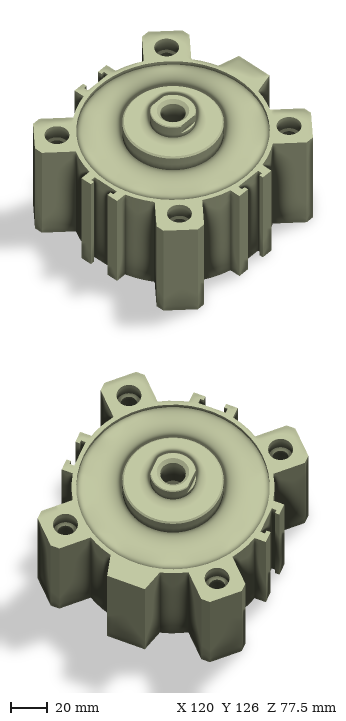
import cadquery as cq
import math

BARREL_DIAMETER = 110.0
BARREL_HEIGHT = 62.0
OUTER_WIDTH = 120.0
HALF_WIDTH = OUTER_WIDTH / 2
RECESS_DIAMETER = 105.0
RECESS_DEPTH = 2.5

BOSS_DIAMETER = 55.0
BOSS_HEIGHT = 7.3
BOSS_TOP = BARREL_HEIGHT + BOSS_HEIGHT
BOSS_CHAMFER = 0.9

LUG_WIDTH = 25.8
LUG_REACH = 75.5
LUG_ANGLES = (45, 135, 225, 315)
MOUNT_HOLE_DIAMETER = 9.0
MOUNT_HOLE_RADIUS = 63.0
COUNTERBORE_DIAMETER = 13.5
COUNTERBORE_DEPTH = 8.6

RAIL_WIDTH = 26.0
RAIL_ANGLES = (180, 270, 0)
SLOT_MOUTH_WIDTH = 12.1
SLOT_INNER_WIDTH = 16.1
SLOT_LIP = 2.5
SLOT_DEPTH = 5.3

OVERALL_LENGTH = 126.0
RIB_REACH = OVERALL_LENGTH - HALF_WIDTH
RIB_TIP_WIDTH = 22.2
RIB_ROOT_WIDTH = 29.0
RIB_ROOT_REACH = 52.9

ROD_DIAMETER = 25.0
ROD_TOP = 77.5
ROD_LENGTH = 30.2
ROD_BOTTOM = ROD_TOP - ROD_LENGTH
ROD_CHAMFER = 0.5
FLATS_WIDTH = 22.0
FLATS_LENGTH = 5.5
ROD_HOLE_DIAMETER = 13.9
ROD_HOLE_DEPTH = 20.2
ROD_HOLE_CHAMFER = 1.9


def cylinder(diameter, bottom, top):
    """Upright cylinder on the main axis."""
    return cq.Workplane("XY").workplane(offset=bottom).circle(diameter / 2).extrude(top - bottom)


def block(x_start, x_end, width):
    """Full-height block along +X, centred on the X axis."""
    return (
        cq.Workplane("XY")
        .center((x_start + x_end) / 2, 0)
        .rect(x_end - x_start, width)
        .extrude(BARREL_HEIGHT)
    )


def turned(shape, angle):
    """Shape turned about the main axis."""
    return shape.rotate((0, 0, 0), (0, 0, 1), angle)


def make_lugs():
    """Four diagonal arms whose corners are cut off by the outer square."""
    lugs = cq.Workplane("XY")
    for angle in LUG_ANGLES:
        lugs = lugs.add(turned(block(0, LUG_REACH, LUG_WIDTH), angle))
    outer_square = cq.Workplane("XY").rect(OUTER_WIDTH, OUTER_WIDTH).extrude(BARREL_HEIGHT)
    return lugs.combine().intersect(outer_square)


def make_rib():
    """Rib that narrows outward; its root is buried in the barrel."""
    return (
        cq.Workplane("XY")
        .moveTo(0, 0)
        .lineTo(RIB_ROOT_WIDTH / 2, RIB_ROOT_REACH)
        .lineTo(RIB_TIP_WIDTH / 2, RIB_REACH)
        .lineTo(-RIB_TIP_WIDTH / 2, RIB_REACH)
        .lineTo(-RIB_ROOT_WIDTH / 2, RIB_ROOT_REACH)
        .close()
        .extrude(BARREL_HEIGHT)
    )


def make_t_slot():
    """Cutter for one T-slot, opening toward +X."""
    mouth = block(HALF_WIDTH - SLOT_DEPTH, HALF_WIDTH, SLOT_MOUTH_WIDTH)
    inner = block(HALF_WIDTH - SLOT_DEPTH, HALF_WIDTH - SLOT_LIP, SLOT_INNER_WIDTH)
    return mouth.union(inner)


def cut_mounting_holes(housing):
    centre = MOUNT_HOLE_RADIUS / math.sqrt(2)
    return (
        housing.copyWorkplane(cq.Workplane("XY", origin=(0, 0, BARREL_HEIGHT)))
        .rect(2 * centre, 2 * centre, forConstruction=True)
        .vertices()
        .cboreHole(MOUNT_HOLE_DIAMETER, COUNTERBORE_DIAMETER, COUNTERBORE_DEPTH, BARREL_HEIGHT)
    )


def make_housing():
    housing = cylinder(BARREL_DIAMETER, 0, BARREL_HEIGHT)
    housing = housing.union(make_lugs()).union(make_rib())
    for angle in RAIL_ANGLES:
        housing = housing.union(turned(block(0, HALF_WIDTH, RAIL_WIDTH), angle))
    for angle in RAIL_ANGLES:
        housing = housing.cut(turned(make_t_slot(), angle))
    housing = cut_mounting_holes(housing)

    recess_floor = BARREL_HEIGHT - RECESS_DEPTH
    housing = housing.cut(cylinder(RECESS_DIAMETER, recess_floor, BARREL_HEIGHT))
    boss = cylinder(BOSS_DIAMETER, recess_floor, BOSS_TOP).faces(">Z").chamfer(BOSS_CHAMFER)
    housing = housing.union(boss)

    return housing.cut(cylinder(ROD_DIAMETER, ROD_BOTTOM, BOSS_TOP))


def make_rod():
    rod = cylinder(ROD_DIAMETER, ROD_BOTTOM, ROD_TOP).faces(">Z").chamfer(ROD_CHAMFER)

    flats_bottom = ROD_TOP - FLATS_LENGTH
    flats_slab = (
        cq.Workplane("XY")
        .workplane(offset=flats_bottom)
        .rect(FLATS_WIDTH, ROD_DIAMETER)
        .extrude(FLATS_LENGTH)
    )
    rod = rod.cut(cylinder(ROD_DIAMETER, flats_bottom, ROD_TOP).cut(flats_slab))

    hole = cylinder(ROD_HOLE_DIAMETER, ROD_TOP - ROD_HOLE_DEPTH, ROD_TOP)
    rod = rod.cut(hole)
    return rod.faces(">Z").edges(cq.selectors.RadiusNthSelector(0)).chamfer(ROD_HOLE_CHAMFER)


housing = make_housing()
rod = make_rod()

result = cq.Compound.makeCompound([housing.val(), rod.val()])